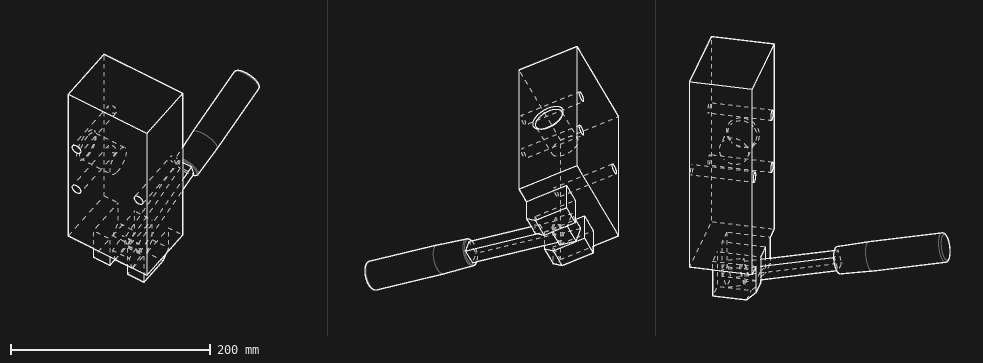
import cadquery as cq
import math

OVERALL_DEPTH = 256.5
BLOCK_WIDTH = 95.0
BLOCK_DEPTH = 65.0
BLOCK_HEIGHT = 214.0
BLOCK_MID_Z = BLOCK_HEIGHT / 2

MOUNT_DIAMETER = 10.5
MOUNT_EDGE_DISTANCE = 10.0
MOUNT_PITCH = 60.0

PORT_DIAMETER = 30.0
PORT_CHAMFER = 2.0
PORT_DEPTH = 38.5

FORK_WIDTH = 61.0
FORK_DEPTH = 45.0
FORK_HEIGHT = 40.0
FORK_CHAMFER = 10.0
FORK_SLOT = 21.0

LEVER_TILT = 15.0
HUB_WIDTH = 20.0
HUB_HEIGHT = 20.0
HUB_LENGTH = 19.0
HUB_SETBACK = 9.2
SHAFT_WIDTH = 16.0
SHAFT_HEIGHT = 15.1
GRIP_DIAMETER = 30.0
NECK_DIAMETER = 28.0
GRIP_STRAIGHT = 80.0
NECK_LENGTH = 35.0
GRIP_ROUND = 2.0
NECK_ROUND = 1.0


def make_box(width, depth, height, y, z):
    """Box centred in X, with its front at y and its underside at z."""
    return cq.Workplane("XY").box(width, depth, height, centered=(True, False, False)).translate((0, y, z))


def make_fork():
    """Two cheeks, chamfered along their rear lower edges."""
    front = BLOCK_DEPTH - FORK_DEPTH
    fork = make_box(FORK_WIDTH, FORK_DEPTH, FORK_HEIGHT, front, -FORK_HEIGHT)
    fork = fork.faces(">Y").edges("<Z").chamfer(FORK_CHAMFER)
    return fork.cut(make_box(FORK_SLOT, FORK_DEPTH, FORK_HEIGHT, front, -FORK_HEIGHT))


def make_mount_holes():
    """Two holes on the left and one on the right, halfway between them."""
    hole_x = BLOCK_WIDTH / 2 - MOUNT_EDGE_DISTANCE
    centres = [
        (-hole_x, BLOCK_MID_Z - MOUNT_PITCH / 2),
        (-hole_x, BLOCK_MID_Z + MOUNT_PITCH / 2),
        (hole_x, BLOCK_MID_Z),
    ]
    return cq.Workplane("XZ").pushPoints(centres).circle(MOUNT_DIAMETER / 2).extrude(-BLOCK_DEPTH)


def make_port():
    """Port cutter revolved about X and entering from the left side."""
    radius = PORT_DIAMETER / 2
    profile = [
        (0, 0),
        (0, radius + PORT_CHAMFER),
        (PORT_CHAMFER, radius),
        (PORT_DEPTH, radius),
        (PORT_DEPTH, 0),
    ]
    port = cq.Workplane("XY").polyline(profile).close().revolve(360, (0, 0), (1, 0))
    return port.translate((-BLOCK_WIDTH / 2, BLOCK_DEPTH / 2, BLOCK_MID_Z))


def make_valve():
    """Block with the fork underneath, drilled for mounting and for the port."""
    block = make_box(BLOCK_WIDTH, BLOCK_DEPTH, BLOCK_HEIGHT, 0, 0)
    return block.union(make_fork()).cut(make_mount_holes()).cut(make_port())


def make_grip(tip, axis_z):
    """Round grip with a tapered neck, ending at y = tip."""
    neck_end = tip - GRIP_STRAIGHT - NECK_LENGTH
    profile = [
        (0, neck_end),
        (NECK_DIAMETER / 2, neck_end),
        (GRIP_DIAMETER / 2, tip - GRIP_STRAIGHT),
        (GRIP_DIAMETER / 2, tip),
        (0, tip),
    ]
    grip = cq.Workplane("XY").polyline(profile).close().revolve(360, (0, 0), (0, 1))
    grip = grip.faces(">Y").edges().fillet(GRIP_ROUND)
    grip = grip.faces("<Y").edges().fillet(NECK_ROUND)
    return grip.translate((0, 0, axis_z))


def make_lever():
    """Hub, shaft and grip; the top front edge of the hub is the tilt axis."""
    tilt = math.radians(LEVER_TILT)

    pivot_y = BLOCK_DEPTH - FORK_DEPTH + HUB_SETBACK - HUB_HEIGHT * math.sin(tilt)
    pivot_z = -FORK_HEIGHT + HUB_HEIGHT * math.cos(tilt)

    axis_z = -HUB_HEIGHT / 2
    rim_z = axis_z - GRIP_DIAMETER / 2 + GRIP_ROUND
    rim_reach = OVERALL_DEPTH - GRIP_ROUND - pivot_y
    tip = GRIP_ROUND + (rim_reach + rim_z * math.sin(tilt)) / math.cos(tilt)

    hub = make_box(HUB_WIDTH, HUB_LENGTH, HUB_HEIGHT, 0, -HUB_HEIGHT)
    shaft = make_box(SHAFT_WIDTH, tip - GRIP_STRAIGHT, SHAFT_HEIGHT, 0, axis_z - SHAFT_HEIGHT / 2)
    lever = hub.union(shaft).union(make_grip(tip, axis_z))
    return lever.rotate((0, 0, 0), (1, 0, 0), LEVER_TILT).translate((0, pivot_y, pivot_z))


valve_body = make_valve()
lever_body = make_lever()
result = cq.Compound.makeCompound([valve_body.val(), lever_body.val()])